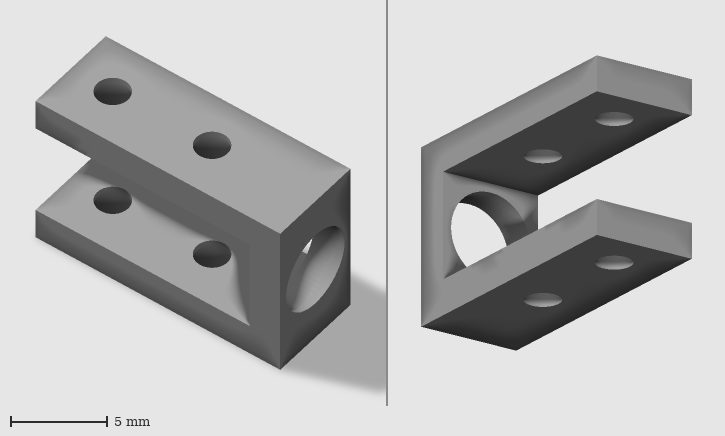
import cadquery as cq

length = 16.0
width = 6.0
height = 10.0
wall = 2.0

pin_hole_diameter = 2.0
first_pin_from_tip = 2.75
pin_spacing = 6.5
end_hole_diameter = 5.0

slot_length = length - wall
slot_height = height - 2 * wall


def clevis_body():
    """Block centred on the origin, with the slot cut between its arms."""
    block = cq.Workplane("XY").box(length, width, height)
    slot = (
        cq.Workplane("XY")
        .box(slot_length, width, slot_height)
        .translate((-wall / 2, 0, 0))
    )
    return block.cut(slot)


def pin_holes():
    """Two vertical cylinders that pass through both arms."""
    first_x = -length / 2 + first_pin_from_tip
    centers = [(first_x, 0), (first_x + pin_spacing, 0)]
    return (
        cq.Workplane("XY")
        .pushPoints(centers)
        .circle(pin_hole_diameter / 2)
        .extrude(height / 2, both=True)
    )


def end_hole():
    """Cylinder along X that passes through the end wall."""
    return (
        cq.Workplane("YZ", origin=(length / 2 - wall, 0, 0))
        .circle(end_hole_diameter / 2)
        .extrude(wall)
    )


result = clevis_body().cut(pin_holes()).cut(end_hole())